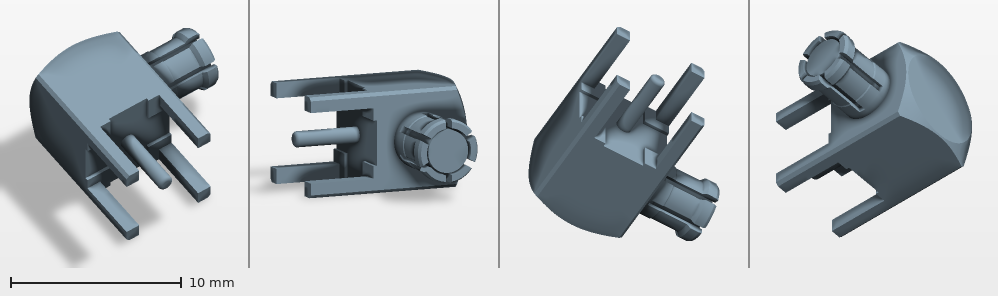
import cadquery as cq
import math

HOUSING_SIDE = 6.0
HOUSING_LENGTH = 10.0
EDGE_CHAMFER = 0.2
REAR_FACE_RADIUS = 2.9
REAR_CONE_ANGLE = 30.0

LEG_SIDE = 0.9
STANDOFF_X = 6.0
RELIEF_DEPTH = 0.2
RELIEF_WIDTH = 2.7

PIN_RADIUS = 0.475
PIN_TIP_X = 9.8
PIN_TIP_FILLET = 0.2

SLEEVE_X = 3.0
SLEEVE_TIP_Y = 7.2
BASE_RADIUS = 1.7
BASE_END_Y = 4.3
NECK_RADIUS = 1.65
NECK_START_Y = 4.37
NECK_END_Y = 6.18
HEAD_RADIUS = 1.9
HEAD_START_Y = 6.43
HEAD_END_Y = 7.0
TIP_RADIUS = 1.78
BORE_RADIUS = 1.4

SLOT_COUNT = 6
SLOT_WIDTH = 0.4
SLOT_FLOOR_Y = 3.5

INSULATOR_TIP_Y = 7.07
SHOULDER_TOP_Y = 3.9
SHOULDER_BASE_Y = 3.77
INSULATOR_RADIUS = BORE_RADIUS - (SHOULDER_TOP_Y - SHOULDER_BASE_Y)

RELIEF_X = STANDOFF_X - RELIEF_DEPTH


def square_bar(side, start_x, end_x):
    """Square bar centred on the X axis."""
    return cq.Workplane("YZ").workplane(offset=start_x).rect(side, side).extrude(end_x - start_x)


def cross_cutter(width, start_x):
    """Two crossing slabs, open through Y and Z, from start_x to the leg tips."""
    depth = HOUSING_LENGTH - start_x
    plane = cq.Workplane("YZ").workplane(offset=start_x)
    along_y = plane.rect(HOUSING_SIDE, width).extrude(depth)
    along_z = plane.rect(width, HOUSING_SIDE).extrude(depth)
    return along_y.union(along_z)


def rear_cone_envelope():
    """Solid of revolution about X that bevels the rear corners of the housing."""
    full_radius = HOUSING_SIDE
    cone_length = (full_radius - REAR_FACE_RADIUS) * math.tan(math.radians(REAR_CONE_ANGLE))
    profile = [
        (0, 0),
        (0, REAR_FACE_RADIUS),
        (cone_length, full_radius),
        (HOUSING_LENGTH, full_radius),
        (HOUSING_LENGTH, 0),
    ]
    return cq.Workplane("XY").polyline(profile).close().revolve(360, (0, 0, 0), (1, 0, 0))


def make_housing():
    housing = square_bar(HOUSING_SIDE, 0, HOUSING_LENGTH).edges("|X").chamfer(EDGE_CHAMFER)
    housing = housing.intersect(rear_cone_envelope())
    housing = housing.cut(cross_cutter(HOUSING_SIDE - 2 * LEG_SIDE, STANDOFF_X))
    return housing.cut(cross_cutter(RELIEF_WIDTH, RELIEF_X))


def make_solder_pin():
    pin = cq.Workplane("YZ").workplane(offset=SLEEVE_X).circle(PIN_RADIUS).extrude(PIN_TIP_X - SLEEVE_X)
    return pin.faces(">X").edges().fillet(PIN_TIP_FILLET)


def revolve_about_sleeve_axis(profile):
    """Revolve (radius, y) points about the sleeve axis."""
    points = [(SLEEVE_X + radius, y) for radius, y in profile]
    return cq.Workplane("XY").polyline(points).close().revolve(360, (SLEEVE_X, 0, 0), (SLEEVE_X, 1, 0))


def make_sleeve():
    sleeve = revolve_about_sleeve_axis([
        (BORE_RADIUS, 0),
        (BASE_RADIUS, 0),
        (BASE_RADIUS, BASE_END_Y),
        (NECK_RADIUS, NECK_START_Y),
        (NECK_RADIUS, NECK_END_Y),
        (HEAD_RADIUS, HEAD_START_Y),
        (HEAD_RADIUS, HEAD_END_Y),
        (TIP_RADIUS, SLEEVE_TIP_Y),
        (BORE_RADIUS, SLEEVE_TIP_Y),
    ])
    slot_length = SLEEVE_TIP_Y - SLOT_FLOOR_Y
    slot = cq.Workplane("XY").box(SLOT_WIDTH, slot_length, HOUSING_SIDE, centered=(True, False, False))
    slot = slot.translate((SLEEVE_X, SLOT_FLOOR_Y, 0))
    for index in range(SLOT_COUNT):
        angle = index * 360 / SLOT_COUNT
        sleeve = sleeve.cut(slot.rotate((SLEEVE_X, 0, 0), (SLEEVE_X, 1, 0), angle))
    return sleeve


def make_insulator():
    return revolve_about_sleeve_axis([
        (0, 0),
        (BORE_RADIUS, 0),
        (BORE_RADIUS, SHOULDER_BASE_Y),
        (INSULATOR_RADIUS, SHOULDER_TOP_Y),
        (INSULATOR_RADIUS, INSULATOR_TIP_Y),
        (0, INSULATOR_TIP_Y),
    ])


result = make_housing().union(make_sleeve()).union(make_insulator()).union(make_solder_pin())